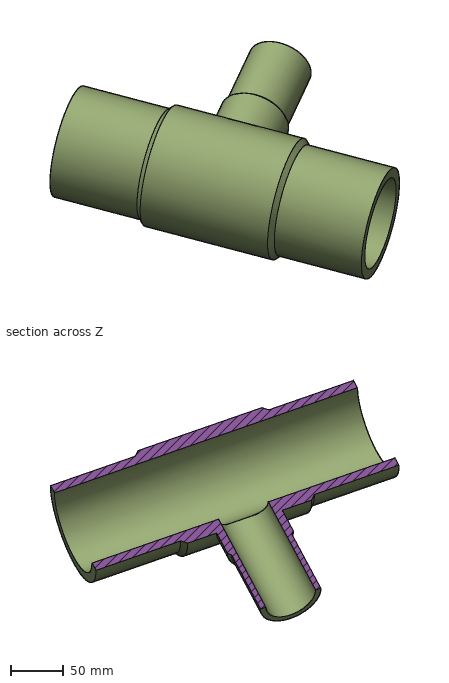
import cadquery as cq

run_length = 315.0
run_diameter = 110.0
run_bore = 90.0
sleeve_length = 139.0
sleeve_diameter = 120.0
sleeve_chamfer = (sleeve_diameter - run_diameter) / 2

overall_depth = 219.2
branch_reach = overall_depth - sleeve_diameter / 2
branch_diameter = 63.0
branch_bore = 51.3
collar_reach = 89.0
collar_diameter = 68.5
collar_chamfer = (collar_diameter - branch_diameter) / 2


def run_cylinder(diameter, length):
    """Cylinder along X, centred on the origin."""
    return cq.Workplane("YZ").circle(diameter / 2).extrude(length / 2, both=True)


def branch_cylinder(diameter, reach):
    """Cylinder from the run axis out to the given Y."""
    return cq.Workplane("XZ").circle(diameter / 2).extrude(-reach)


run = run_cylinder(run_diameter, run_length)
sleeve = run_cylinder(sleeve_diameter, sleeve_length).faces("<X or >X").chamfer(sleeve_chamfer)
branch = branch_cylinder(branch_diameter, branch_reach)
collar = branch_cylinder(collar_diameter, collar_reach).faces(">Y").chamfer(collar_chamfer)
body = run.union(sleeve).union(collar).union(branch)

result = body.cut(run_cylinder(run_bore, run_length)).cut(branch_cylinder(branch_bore, branch_reach))